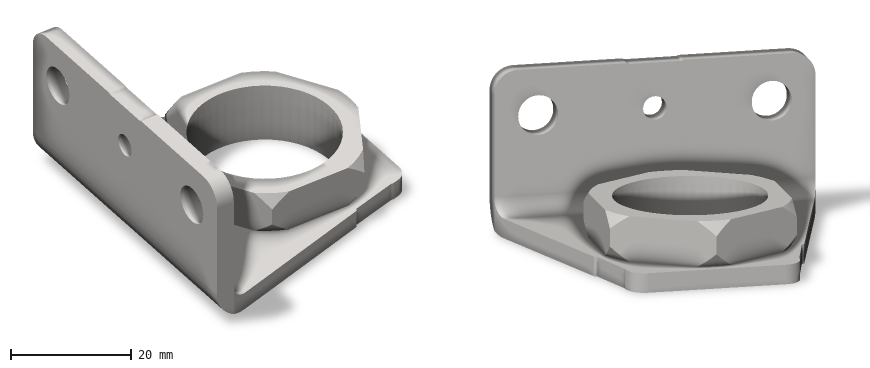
import cadquery as cq
import math

width = 55.0
depth = 47.0
height = 28.0
thickness = 3.35
inner_bend_radius = 3.0
outer_bend_radius = 6.0

step_start_y = 34.3
step_end_y = 34.65
step_outer_half_width = 18.0
step_inner_half_width = 17.5
straight_start_y = 43.25
straight_end_y = 43.85
straight_half_width = 14.95
tip_half_width = 14.0
tip_corner_radius = 3.0

wall_corner_radius = 4.0
mount_hole_diameter = 6.8
mount_hole_spacing = 40.0
pilot_hole_diameter = 4.0
hole_height = 20.0
notch_floor_width = 8.8
notch_mouth_width = 9.7
notch_depth = 0.15

nut_center_y = 28.0
nut_across_flats = 32.0
nut_height = 7.8
bore_diameter = 26.0
nut_bevel_inset = 1.45
nut_bevel_height = 2.35
nut_corner_radius = nut_across_flats / math.sqrt(3)


def bent_sheet():
    """L-shaped strip with a rounded bend, spanning the full width."""
    inner_bend_end = thickness + inner_bend_radius
    arc_middle = 1 - math.sqrt(0.5)
    outer_middle = outer_bend_radius * arc_middle
    inner_middle = thickness + inner_bend_radius * arc_middle
    return (
        cq.Workplane("YZ")
        .moveTo(0, height)
        .lineTo(0, outer_bend_radius)
        .threePointArc((outer_middle, outer_middle), (outer_bend_radius, 0))
        .lineTo(depth, 0)
        .lineTo(depth, thickness)
        .lineTo(inner_bend_end, thickness)
        .threePointArc((inner_middle, inner_middle), (thickness, inner_bend_end))
        .lineTo(thickness, height)
        .close()
        .extrude(width / 2, both=True)
    )


def plan_blank():
    """Outline seen along Z: full width at the wall, then tapering to the tip."""
    right_side = [
        (width / 2, 0),
        (width / 2, thickness),
        (step_outer_half_width, step_start_y),
        (step_inner_half_width, step_end_y),
        (straight_half_width, straight_start_y),
        (straight_half_width, straight_end_y),
        (tip_half_width, depth),
    ]
    left_side = [(-x, y) for x, y in reversed(right_side)]
    blank = cq.Workplane("XY").polyline(right_side + left_side).close().extrude(height)
    return blank.edges("|Z").edges(">Y").fillet(tip_corner_radius)


def wall_cutter(diameter, x_positions):
    """Round holes along Y through the wall."""
    return (
        cq.Workplane("XZ")
        .pushPoints([(x, hole_height) for x in x_positions])
        .circle(diameter / 2)
        .extrude(-thickness)
    )


def notch_cutter():
    """Shallow relief with sloping ends in the top edge of the wall."""
    floor_z = height - notch_depth
    return (
        cq.Workplane("XZ")
        .polyline([
            (-notch_mouth_width / 2, height),
            (-notch_floor_width / 2, floor_z),
            (notch_floor_width / 2, floor_z),
            (notch_mouth_width / 2, height),
        ])
        .close()
        .extrude(-thickness)
    )


def beveled_nut():
    """Hexagon, points along Y, with its corners beveled by a cone at both ends."""
    nut = (
        cq.Workplane("XY")
        .polygon(6, 2 * nut_corner_radius)
        .extrude(nut_height)
        .rotate((0, 0, 0), (0, 0, 1), 30)
    )
    face_radius = nut_corner_radius - nut_bevel_inset
    envelope = (
        cq.Workplane("XZ")
        .polyline([
            (0, 0),
            (face_radius, 0),
            (nut_corner_radius, nut_bevel_height),
            (nut_corner_radius, nut_height - nut_bevel_height),
            (face_radius, nut_height),
            (0, nut_height),
        ])
        .close()
        .revolve(360, (0, 0, 0), (0, 1, 0))
    )
    return nut.intersect(envelope).translate((0, nut_center_y, thickness))


bracket = bent_sheet().intersect(plan_blank())
bracket = bracket.edges("|Y").edges(">Z").fillet(wall_corner_radius)
bracket = bracket.cut(notch_cutter())
mount_hole_x = mount_hole_spacing / 2
bracket = bracket.cut(wall_cutter(mount_hole_diameter, (-mount_hole_x, mount_hole_x)))
bracket = bracket.cut(wall_cutter(pilot_hole_diameter, (0,)))

bore = (
    cq.Workplane("XY")
    .center(0, nut_center_y)
    .circle(bore_diameter / 2)
    .extrude(thickness + nut_height)
)
result = bracket.union(beveled_nut()).cut(bore)